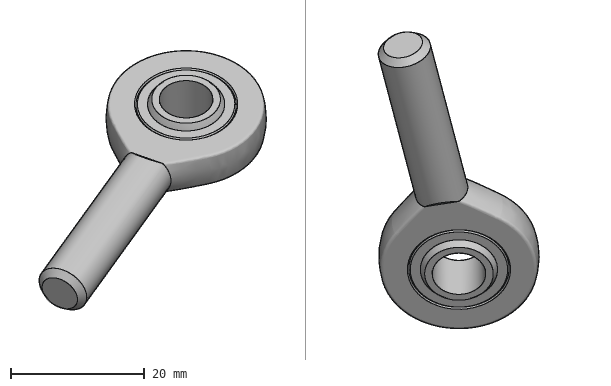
import cadquery as cq
import math

eye_radius = 11.995
overall_length = 53.9
head_thickness = 6.0
shank_radius = 4.0
shank_start_y = -12.95
tip_chamfer = 1.0
shank_slope_length = 1.1
head_edge_fillet = 0.5

race_radius = 7.5
seat_chamfer = 0.2

ball_radius = 6.5
ball_width = 8.0
bore_radius = 4.0

shank_end_y = eye_radius - overall_length
half_head = head_thickness / 2


def point_on_eye(angle):
    """Point of the eye outline at an angle from +X."""
    return eye_radius * math.cos(angle), eye_radius * math.sin(angle)


def make_head():
    """Sphere with a tangent neck cone about the Y axis, cut to a flat slab with rounded edges."""
    neck_distance = math.hypot(shank_radius, shank_start_y)
    neck_angle = math.atan2(shank_start_y, shank_radius)
    tangent_angle = neck_angle + math.acos(eye_radius / neck_distance)
    middle_angle = (tangent_angle + math.pi / 2) / 2
    body = (
        cq.Workplane("XY")
        .moveTo(0, eye_radius)
        .threePointArc(point_on_eye(middle_angle), point_on_eye(tangent_angle))
        .lineTo(shank_radius, shank_start_y)
        .lineTo(0, shank_start_y)
        .close()
        .revolve(360, (0, 0, 0), (0, 1, 0))
    )
    slab = cq.Workplane("XY").box(overall_length, overall_length, head_thickness)
    head = body.intersect(slab)
    return head.faces("|Z").edges("not(<Y)").fillet(head_edge_fillet)


def make_shank():
    """Round bar with a chamfered tip and a sloped flat above and below at the head."""
    shank = (
        cq.Workplane("XZ", origin=(0, shank_start_y, 0))
        .circle(shank_radius)
        .extrude(shank_start_y - shank_end_y)
        .faces("<Y")
        .chamfer(tip_chamfer)
    )
    wedge = (
        cq.Workplane("YZ")
        .moveTo(shank_start_y, half_head)
        .lineTo(shank_start_y, shank_radius)
        .lineTo(shank_start_y - shank_slope_length, shank_radius)
        .close()
        .extrude(shank_radius, both=True)
    )
    return shank.cut(wedge).cut(wedge.mirror("XY"))


def make_housing():
    """Head and shank in one piece, with a chamfered through seat for the race."""
    seat = cq.Workplane("XY").circle(race_radius).extrude(half_head, both=True)
    seat_mouth = (
        cq.Workplane("XY", origin=(0, 0, half_head))
        .circle(race_radius + seat_chamfer)
        .extrude(-seat_chamfer, taper=45)
    )
    return make_head().union(make_shank()).cut(seat).cut(seat_mouth).cut(seat_mouth.mirror("XY"))


def make_race():
    """Ring with chamfered rims that fills the seat and holds the ball in a spherical hollow."""
    ring = cq.Workplane("XY").circle(race_radius).extrude(half_head, both=True)
    ring = ring.faces("|Z").edges().chamfer(seat_chamfer)
    return ring.cut(cq.Workplane("XY").sphere(ball_radius))


def make_ball():
    """Sphere with two flat ends and a through bore."""
    core = (
        cq.Workplane("XY")
        .circle(eye_radius)
        .circle(bore_radius)
        .extrude(ball_width / 2, both=True)
    )
    return cq.Workplane("XY").sphere(ball_radius).intersect(core)


housing = make_housing()
race = make_race()
ball = make_ball()

result = cq.Compound.makeCompound([*housing.solids().vals(), *race.solids().vals(), *ball.solids().vals()])